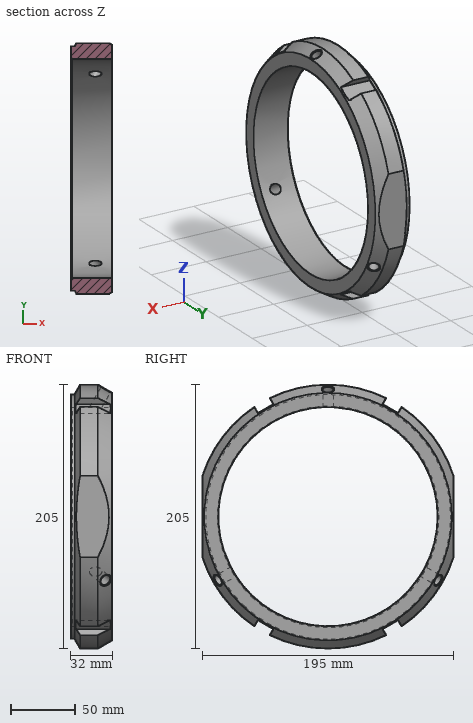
import cadquery as cq
import math

width = 32.0
outer_radius = 102.5
lip_radius = 190.0 / 2
lip_width = 2.9
bore_radius = 170.0 / 2
bore_chamfer = 1.0
front_cone_angle = 60.0
rear_cone_angle = 30.0
rim_end = 21.0
rim_start = lip_width + (outer_radius - lip_radius) / math.tan(math.radians(front_cone_angle))
rear_slope = math.tan(math.radians(rear_cone_angle))
rear_radius = outer_radius - (width - rim_end) * rear_slope

across_flats = 195.0

slot_angles = (30, 150, 210, 330)
slot_width = 13.7
slot_floor = 96.8

hole_diameter = 8.5
hole_mouth_diameter = 10.2
hole_count = 3
hole_x = 27.0
hole_length = 30.8
countersink_angle = 120.0
mouth_clearance = 2.0


def make_body():
    profile = [
        (0, bore_radius + bore_chamfer),
        (0, lip_radius),
        (lip_width, lip_radius),
        (rim_start, outer_radius),
        (rim_end, outer_radius),
        (width, rear_radius),
        (width, bore_radius),
        (bore_chamfer, bore_radius),
    ]
    ring = cq.Workplane("XY").polyline(profile).close().revolve(360, (0, 0, 0), (1, 0, 0))
    flats = cq.Workplane("XY").box(2 * width, across_flats, 2 * outer_radius + 2)
    return ring.intersect(flats)


def make_slot(angle):
    depth = outer_radius - slot_floor + 2
    cutter = cq.Workplane("XY").box(width, slot_width, depth, centered=(False, True, False))
    return cutter.translate((0, 0, slot_floor)).rotate((0, 0, 0), (1, 0, 0), angle)


def make_screw_hole(angle):
    mouth_z = outer_radius - (hole_x - rim_end) * rear_slope
    tilt = math.radians(rear_cone_angle)
    inward = cq.Vector(-math.sin(tilt), 0, -math.cos(tilt))
    mouth = cq.Vector(hole_x, 0, mouth_z)
    start = mouth - inward * mouth_clearance
    drill = cq.Solid.makeCylinder(hole_diameter / 2, hole_length, start, inward)
    sink_slope = math.tan(math.radians(countersink_angle / 2))
    sink_depth = (hole_mouth_diameter - hole_diameter) / 2 / sink_slope
    countersink = cq.Solid.makeCone(
        hole_mouth_diameter / 2 + mouth_clearance * sink_slope,
        hole_diameter / 2,
        sink_depth + mouth_clearance,
        start,
        inward,
    )
    return drill.fuse(countersink).rotate(cq.Vector(0, 0, 0), cq.Vector(1, 0, 0), angle)


result = make_body()
for slot_angle in slot_angles:
    result = result.cut(make_slot(slot_angle))
for index in range(hole_count):
    result = result.cut(cq.Workplane(obj=make_screw_hole(index * 360 / hole_count)))